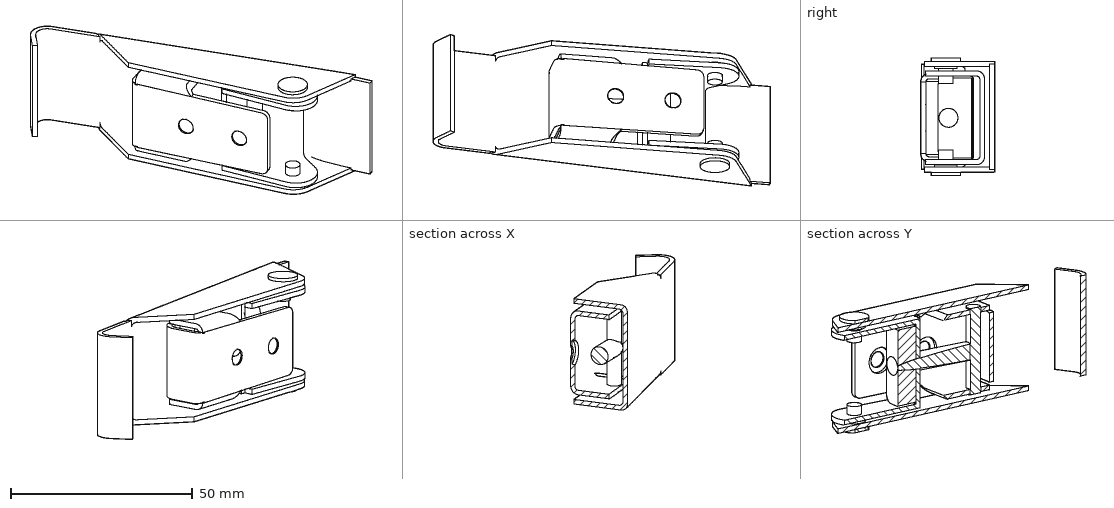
import cadquery as cq
import math

sheet = 1.5

length = 97.0
back_y = 20.6
slope_deg = 6.4
kink_x = 79.0
hook_radius = 4.7
hook_lean_deg = 29.0
hook_tip_length = 5.8
strip_width = 29.0
lever_width = 30.7
lever_outer_bend = 1.9
lever_inner_bend = 1.1
flange_front_y = 1.1
flange_front_x = 32.0
flange_root = (18.9, 11.9)
flange_corner_x = 83.0
flange_corner_radius = 6.0
flange_back_x = 92.0

pivot_x = 79.1
pivot_y = 7.0
rivet_tip_z = 9.2
rivet_shaft_radius = 2.0
rivet_head_radius = 4.1
rivet_head_height = 0.92
collar_radius = 3.1
collar_height = 0.6

link_tilt_deg = -3.3
mid_z = -0.3
bracket_width = 25.9
bracket_bend = 2.4
arm_front_v = -5.5
arm_end_u = 0.7
arm_end_v = 0.5
wall_left_u = -20.6
wall_front_v = -2.9
plate_end_u = -3.1
plate_end_v = 10.6
plate_slope_deg = 8.8
block_right_u = -12.7
block_back_v = 6.3
block_width = 22.1
block_fillet = 2.3
rod_radius = 2.6

base_left_x = 32.9
base_right_x = 74.6
base_left_width = 20.2
base_right_width = 19.3
base_depth = 14.2
base_bend = 2.4
base_curl = 5.4
base_corner_radius = 1.9
hole_radius = 2.2
hole_lip = 0.5
recess_radius = 3.7
hole_xs = (49.9, 66.0)
wing_left_x = 34.5
wing_front_x = 51.6
wing_width = 24.4
wing_depth = 11.6
pin_x = 39.4
pin_radius = 2.0
pin_length = 25.0

slope = math.tan(math.radians(slope_deg))
slope_cos = math.cos(math.radians(slope_deg))
slope_sin = math.sin(math.radians(slope_deg))
grip_inner_y = back_y - sheet
wall_inner_u = wall_left_u + sheet
arm_end_radius = arm_end_v - arm_front_v
plate_slope = math.tan(math.radians(plate_slope_deg))
link_cos = math.cos(math.radians(link_tilt_deg))
link_tan = math.tan(math.radians(link_tilt_deg))
pin_y = pivot_y + (pin_x - pivot_x) * link_tan
pin_u = (pin_x - pivot_x) / link_cos


def slab(outline, width, centre_z=0.0):
    """Extrude a closed XY outline over a width centred on centre_z."""
    return outline.extrude(width / 2, both=True).translate((0, 0, centre_z))


def polygon(points):
    return cq.Workplane("XY").polyline(points).close()


def cross_cylinder(x, y, radius, width, centre_z=0.0):
    """Cylinder along Z."""
    return slab(cq.Workplane("XY").center(x, y).circle(radius), width, centre_z)


def front_prism(points, depth):
    """Prism along Y from a closed XZ outline, starting at the front face of the base plate."""
    return cq.Workplane("XZ").polyline(points).close().extrude(-depth)


def rounded_bar(width, bend):
    """Long bar along X whose back face lies on Y = 0, with both long edges of that face rounded."""
    bar = cq.Workplane("XY").box(2 * length, length, width).translate((0, -length / 2, 0))
    return bar.edges("|X and >Y").fillet(bend)


def sloped_inner_y(x):
    """Inner face of the sloped lever back; it meets the flat grip at the kink."""
    return grip_inner_y + (x - kink_x) * slope


def sloped_outer_y(x):
    return sloped_inner_y(x) + sheet / slope_cos


def plate_outer_v(u):
    """Outer face of the bracket back plate."""
    return plate_end_v + (u - plate_end_u) * plate_slope


def place_link(body):
    """Tilt a body laid out about the pivot and carry it to the pivot."""
    tilted = body.rotate((0, 0, 0), (0, 0, 1), link_tilt_deg)
    return tilted.translate((pivot_x, pivot_y, mid_z))


def make_hook_strip(width):
    """Sheet strip: hook tip, hook bend, sloped back and flat grip."""
    lean = math.radians(hook_lean_deg)
    centre_x = hook_radius
    back_x = centre_x - hook_radius * slope_sin
    centre_y = sloped_outer_y(back_x) - hook_radius * slope_cos
    inner_radius = hook_radius - sheet

    def on_bend(radius, angle):
        return (centre_x + radius * math.cos(angle), centre_y + radius * math.sin(angle))

    def tip(start):
        return (start[0] + hook_tip_length * math.sin(lean), start[1] - hook_tip_length * math.cos(lean))

    tip_angle = math.pi + lean
    back_angle = math.pi / 2 + math.radians(slope_deg)
    mid_angle = (tip_angle + back_angle) / 2
    outer_kink_x = kink_x - sheet * math.tan(math.radians(slope_deg / 2))
    outline = (
        cq.Workplane("XY")
        .moveTo(*tip(on_bend(hook_radius, tip_angle)))
        .lineTo(*on_bend(hook_radius, tip_angle))
        .threePointArc(on_bend(hook_radius, mid_angle), on_bend(hook_radius, back_angle))
        .lineTo(outer_kink_x, back_y)
        .lineTo(length, back_y)
        .lineTo(length, grip_inner_y)
        .lineTo(kink_x, grip_inner_y)
        .lineTo(*on_bend(inner_radius, back_angle))
        .threePointArc(on_bend(inner_radius, mid_angle), on_bend(inner_radius, tip_angle))
        .lineTo(*tip(on_bend(inner_radius, tip_angle)))
        .close()
    )
    return slab(outline, width)


def make_flange_outline():
    """Prism with the side outline of the flanges, open beyond the back of the lever."""
    left_run = (flange_front_x - flange_root[0]) / (flange_root[1] - flange_front_y)
    flange_height = back_y - flange_front_y
    outline = polygon([
        (flange_front_x - left_run * flange_height, back_y),
        (flange_front_x, flange_front_y),
        (flange_corner_x, flange_front_y),
        (flange_back_x, back_y),
    ])
    corner = cq.selectors.NearestToPointSelector((flange_corner_x, flange_front_y, 0))
    return slab(outline, lever_width).edges("|Z").edges(corner).fillet(flange_corner_radius)


def make_sloped_bar(width, height, bend):
    """Rounded bar along the lever back, its back face a given height above the back's inner face."""
    bar = rounded_bar(width, bend).translate((0, height, 0))
    return bar.rotate((0, 0, 0), (0, 0, 1), slope_deg).translate((kink_x, grip_inner_y, 0))


def make_lever():
    outline = make_flange_outline()
    inner_width = lever_width - 2 * sheet
    outside = make_sloped_bar(lever_width, sheet, lever_outer_bend).intersect(outline)
    inside = make_sloped_bar(inner_width, 0, lever_inner_bend)
    middle = make_hook_strip(inner_width).intersect(outside)
    ends = make_hook_strip(strip_width).cut(outline)
    lever = outside.cut(inside).union(middle).union(ends)
    above_grip = cq.Workplane("XY").box(length, sheet, lever_width)
    lever = lever.cut(above_grip.translate((length / 2, back_y + sheet / 2, 0)))
    return lever.cut(cross_cylinder(pivot_x, pivot_y, rivet_shaft_radius, lever_width))


def make_rivet(side):
    """Pivot rivet: head outside the flange, collar inside it, shaft reaching through the bracket arm."""
    outer_z = lever_width / 2
    inner_z = outer_z - sheet

    def disc(radius, start_z, end_z):
        middle_z = side * (start_z + end_z) / 2
        return cross_cylinder(pivot_x, pivot_y, radius, end_z - start_z, middle_z)

    head = disc(rivet_head_radius, outer_z, outer_z + rivet_head_height)
    shaft = disc(rivet_shaft_radius, rivet_tip_z, outer_z)
    collar = disc(collar_radius, inner_z - collar_height, inner_z)
    return head.union(shaft).union(collar)


def make_rod():
    """Rod on the link axis; its left end straddles the cross pin, its right end is flush with the block."""
    rod = cq.Workplane("YZ", origin=(pin_u, 0, 0)).circle(rod_radius).extrude(block_right_u - pin_u)
    return place_link(rod).cut(make_cross_pin())


def make_rod_hole():
    hole = cq.Workplane("YZ", origin=(pin_u, 0, 0)).circle(rod_radius).extrude(-pin_u)
    return place_link(hole)


def make_nut_block():
    """Block around the right end of the rod, its long front edges rounded."""
    block = slab(polygon([
        (wall_inner_u, wall_front_v),
        (block_right_u, wall_front_v),
        (block_right_u, block_back_v),
        (wall_inner_u, block_back_v),
    ]), block_width)
    block = block.edges("|X and <Y").fillet(block_fillet)
    return place_link(block).cut(make_rod_hole())


def make_arm_outline():
    """Side outline of the bracket arms, with a round end around the pivot."""
    reach_u = plate_end_u - arm_end_u
    reach_v = plate_end_v - arm_end_v
    distance = math.hypot(reach_u, reach_v)
    tangent_angle = math.atan2(reach_v, reach_u) - math.acos(arm_end_radius / distance)
    mid_angle = (tangent_angle - math.pi / 2) / 2

    def on_end(angle):
        return (arm_end_u + arm_end_radius * math.cos(angle), arm_end_v + arm_end_radius * math.sin(angle))

    return (
        cq.Workplane("XY")
        .moveTo(wall_inner_u, arm_front_v)
        .lineTo(arm_end_u, arm_front_v)
        .threePointArc(on_end(mid_angle), on_end(tangent_angle))
        .lineTo(plate_end_u, plate_end_v)
        .lineTo(wall_inner_u, plate_outer_v(wall_inner_u))
        .close()
    )


def make_plate_bar(width, height, bend):
    """Rounded bar along the bracket back plate, its back face a given height above the plate's outer face."""
    bar = rounded_bar(width, bend).translate((0, height, 0))
    return bar.rotate((0, 0, 0), (0, 0, 1), plate_slope_deg).translate((plate_end_u, plate_end_v, 0))


def make_bracket():
    """Back plate, two arms bent forward from it and a wall across the left end."""
    outside = make_plate_bar(bracket_width, 0, bracket_bend)
    inside = make_plate_bar(bracket_width - 2 * sheet, -sheet, bracket_bend - sheet)
    trough = slab(make_arm_outline(), bracket_width).intersect(outside.cut(inside))
    wall = slab(polygon([
        (wall_left_u, wall_front_v),
        (wall_inner_u, wall_front_v),
        (wall_inner_u, plate_outer_v(wall_inner_u)),
        (wall_left_u, plate_outer_v(wall_left_u)),
    ]), bracket_width).intersect(outside)
    bracket = place_link(trough.union(wall)).cut(make_rod_hole())
    return bracket.cut(cross_cylinder(pivot_x, pivot_y, rivet_shaft_radius, lever_width))


def make_cross_pin():
    """Pin through both wings of the base plate, ending just proud of them."""
    return cross_cylinder(pin_x, pin_y, pin_radius, pin_length, mid_z)


def make_base_strip():
    """Tapered front plate, bent back at the left into a web whose back edge curls to the right."""
    curl_x = base_left_x + base_curl
    curl_y = base_depth - base_curl
    inner_curl = base_curl - sheet
    front_bend_x = base_left_x + base_bend
    diagonal = math.sqrt(0.5)

    def on_curl(radius):
        return (curl_x - radius * diagonal, curl_y + radius * diagonal)

    def on_front_bend(radius):
        return (front_bend_x - radius * diagonal, base_bend - radius * diagonal)

    profile = (
        cq.Workplane("XY")
        .moveTo(base_right_x, 0)
        .lineTo(front_bend_x, 0)
        .threePointArc(on_front_bend(base_bend), (base_left_x, base_bend))
        .lineTo(base_left_x, curl_y)
        .threePointArc(on_curl(base_curl), (curl_x, base_depth))
        .lineTo(curl_x, base_depth - sheet)
        .threePointArc(on_curl(inner_curl), (base_left_x + sheet, curl_y))
        .lineTo(base_left_x + sheet, base_bend)
        .threePointArc(on_front_bend(base_bend - sheet), (front_bend_x, sheet))
        .lineTo(base_right_x, sheet)
        .close()
    )
    taper = front_prism([
        (base_left_x, -base_left_width / 2),
        (base_right_x, -base_right_width / 2),
        (base_right_x, base_right_width / 2),
        (base_left_x, base_left_width / 2),
    ], base_depth)
    strip = slab(profile, base_left_width).intersect(taper)
    return strip.edges("|Y and >X").fillet(base_corner_radius)


def make_wings():
    """Side walls bent back from the long edges of the front plate, their front right corners cut off."""
    half = wing_width / 2
    bend_z = half - base_bend
    wing_right_x = wing_front_x - base_bend
    half_turn = ((0, 0, 0), (0, 0, 1), 180)
    outside = rounded_bar(wing_width, base_bend).rotate(*half_turn)
    inside = rounded_bar(wing_width - 2 * sheet, base_bend - sheet).rotate(*half_turn)
    shell = outside.cut(inside.translate((0, sheet, 0)))
    upper_outline = front_prism([
        (wing_left_x, bend_z),
        (wing_front_x, bend_z),
        (wing_right_x, half),
        (wing_left_x, half),
    ], wing_depth)
    upper_wing = shell.intersect(upper_outline)
    return upper_wing, upper_wing.mirror("XY")


def make_base():
    base = make_base_strip()
    for wing in make_wings():
        base = base.union(wing)
    for hole_x in hole_xs:
        hole = cq.Workplane("XZ", origin=(hole_x, 0, 0)).circle(hole_radius).extrude(-sheet)
        recess_start = cq.Workplane("XZ", origin=(hole_x, hole_lip, 0))
        recess = recess_start.circle(recess_radius).extrude(hole_lip - sheet)
        base = base.cut(hole).cut(recess)
    return base.translate((0, 0, mid_z)).cut(make_cross_pin())


lever = make_lever()
bracket = make_bracket()
nut_block = make_nut_block()
rod = make_rod()
base = make_base()
cross_pin = make_cross_pin()
rivets = [make_rivet(side) for side in (1, -1)]

result = cq.Compound.makeCompound([
    lever.val(),
    bracket.val(),
    nut_block.val(),
    rod.val(),
    base.val(),
    cross_pin.val(),
    *[rivet.val() for rivet in rivets],
])